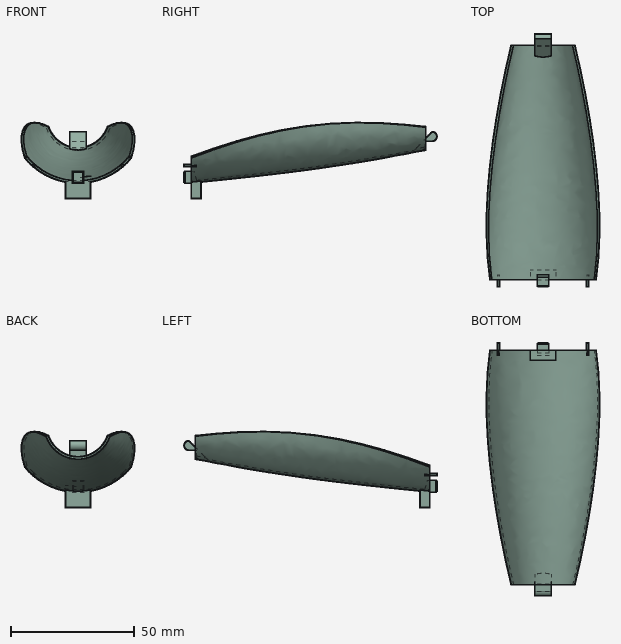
import cadquery as cq

shell_length = 95.1
wall = 1.0

shell_stations = [
    (0.0, 21.5, 6.2, 16.4),
    (shell_length / 4, 23.0, 8.7, 24.4),
    (shell_length / 2, 21.4, 11.6, 29.3),
    (shell_length * 3 / 4, 17.9, 15.2, 30.6),
    (shell_length, 12.9, 19.6, 28.8),
]
shell_bottom = shell_stations[0][2]

foot_width = 10.2
foot_depth = 4.1
foot_height = shell_bottom + 0.9 * wall

tab_width = 4.7
tab_height = 4.9
tab_reach = 2.9
tab_rear_top = 1.1
tab_rear_base = 2.3
tab_chamfer = 0.5

pin_diameter = 1.0
pin_offset = 17.9
pin_height = 13.3
pin_embed = 2.0

hook_width = 6.8
hook_tip_y = shell_length + 4.5
hook_base_y = 90.2
hook_base_z = 19.6
hook_foot_y = 94.7
hook_underside = 23.2
hook_top = 27.1
hook_root_z = 19.9
hook_embed = 0.4


def shell_section(y, half_width, bottom, rim):
    """Closed crescent wire between concentric outer and inner arcs with radial rims."""
    rise = rim - bottom
    radius = (half_width**2 + rise**2) / (2 * rise)
    center = bottom + radius
    inner_radius = radius - wall
    inner_half = half_width * inner_radius / radius
    inner_rim = center + (rim - center) * inner_radius / radius

    def point(x, z):
        return cq.Vector(x, y, z)

    outer_left = point(-half_width, rim)
    outer_right = point(half_width, rim)
    inner_left = point(-inner_half, inner_rim)
    inner_right = point(inner_half, inner_rim)
    return cq.Wire.assembleEdges([
        cq.Edge.makeThreePointArc(outer_left, point(0, bottom), outer_right),
        cq.Edge.makeLine(outer_right, inner_right),
        cq.Edge.makeThreePointArc(inner_right, point(0, bottom + wall), inner_left),
        cq.Edge.makeLine(inner_left, outer_left),
    ])


def make_shell():
    sections = [shell_section(*station) for station in shell_stations]
    return cq.Workplane(obj=cq.Solid.makeLoft(sections))


def make_foot():
    """Block hanging below the front end of the shell."""
    return cq.Workplane().box(foot_width, foot_depth, foot_height, centered=(True, False, False))


def make_tab():
    """Locating tab with a chamfered nose and a sloping rear face."""
    top = shell_bottom + tab_height
    profile = [
        (-tab_reach, shell_bottom),
        (-tab_reach, top),
        (tab_rear_top, top),
        (tab_rear_base, shell_bottom + wall),
        (0, shell_bottom),
    ]
    tab = cq.Workplane("YZ").polyline(profile).close().extrude(tab_width / 2, both=True)
    return tab.faces("<Y").chamfer(tab_chamfer)


def make_pins():
    """Pair of alignment pins on the front edge of the wall."""
    return (
        cq.Workplane("XZ", origin=(0, pin_embed, 0))
        .pushPoints([(-pin_offset, pin_height), (pin_offset, pin_height)])
        .circle(pin_diameter / 2)
        .extrude(pin_embed + tab_reach)
    )


def make_hook():
    """Hook rising at 45 degrees from the rear end, with a round tip."""
    corner_y = hook_base_y + hook_top - hook_base_z
    tip_z = (hook_top + hook_underside) / 2
    return (
        cq.Workplane("YZ")
        .moveTo(hook_base_y, hook_base_z - hook_embed)
        .lineTo(hook_base_y, hook_base_z)
        .lineTo(corner_y, hook_top)
        .threePointArc((hook_tip_y, tip_z), (corner_y, hook_underside))
        .lineTo(hook_foot_y, hook_underside)
        .lineTo(hook_foot_y, hook_root_z)
        .close()
        .extrude(hook_width / 2, both=True)
    )


result = make_shell().union(make_foot()).union(make_tab()).union(make_pins()).union(make_hook())